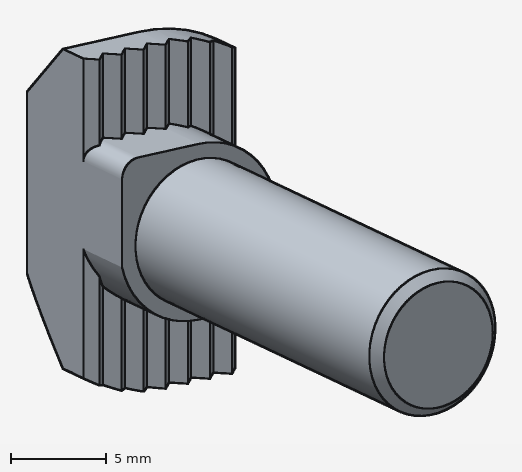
import cadquery as cq
import math

total_length = 30.8
width = 9.7
half_width = width / 2

head_length = 19.0
head_radius = head_length / 2
head_depth = 5.8
head_chamfer = 3.3

tooth_count = 7
serration_span = 9.8
tooth_pitch = serration_span / tooth_count
tooth_depth = tooth_pitch / 2
tooth_root = head_depth - tooth_depth

neck_end = 8.75
neck_turn_radius = 5.0
neck_corner_radius = 1.02

shank_diameter = 8.0
shank_chamfer = 0.55


def chamfered_profile():
    """Half of the head's side profile, from the bolt axis up to its end."""
    return (
        cq.Workplane("XZ")
        .lineTo(0, head_radius - head_chamfer)
        .lineTo(head_chamfer, head_radius)
        .lineTo(head_depth, head_radius)
        .lineTo(head_depth, 0)
        .close()
    )


def quarter_turn_head():
    """Chamfered bar, turned to a cone and cylinder in two opposite quarters."""
    upper_square = chamfered_profile().extrude(half_width)
    lower_square = upper_square.rotate((0, 0, 0), (1, 0, 0), 180)
    turned = chamfered_profile().revolve(360, (0, 0, 0), (1, 0, 0))
    bar = cq.Workplane("XY").box(head_depth, width, head_length, centered=(False, True, True))
    return turned.intersect(bar).union(upper_square).union(lower_square)


def serration_grooves():
    """V-grooves along Z between the teeth on the back of the head."""
    grooves = cq.Workplane("XY")
    for index in range(tooth_count + 1):
        y = half_width - index * tooth_pitch
        groove = (
            cq.Workplane("XY", origin=(0, 0, -head_radius))
            .moveTo(tooth_root, y)
            .lineTo(head_depth, y + tooth_pitch / 2)
            .lineTo(head_depth, y - tooth_pitch / 2)
            .close()
            .extrude(head_length)
        )
        grooves = grooves.add(groove)
    return grooves.combine()


def neck():
    """Square neck with two large turning arcs and two small rounded corners."""
    arc_center = half_width - neck_turn_radius
    arc_middle = half_width / 2

    def arc_height(y):
        return arc_center + math.sqrt(neck_turn_radius**2 - y**2)

    middle_height = arc_height(arc_middle)
    end_height = arc_height(half_width)
    body = (
        cq.Workplane("YZ", origin=(head_chamfer, 0, 0))
        .moveTo(-half_width, half_width)
        .lineTo(0, half_width)
        .threePointArc((arc_middle, middle_height), (half_width, end_height))
        .lineTo(half_width, -half_width)
        .lineTo(0, -half_width)
        .threePointArc((-arc_middle, -middle_height), (-half_width, -end_height))
        .close()
        .extrude(neck_end - head_chamfer)
    )
    middle_x = (head_chamfer + neck_end) / 2
    for side in (-1, 1):
        sharp_corner = cq.NearestToPointSelector((middle_x, side * half_width, -side * half_width))
        body = body.edges(sharp_corner).fillet(neck_corner_radius)
    return body


def shank():
    return (
        cq.Workplane("YZ", origin=(head_chamfer, 0, 0))
        .circle(shank_diameter / 2)
        .extrude(total_length - head_chamfer)
        .faces(">X")
        .chamfer(shank_chamfer)
    )


result = quarter_turn_head().cut(serration_grooves()).union(neck()).union(shank())